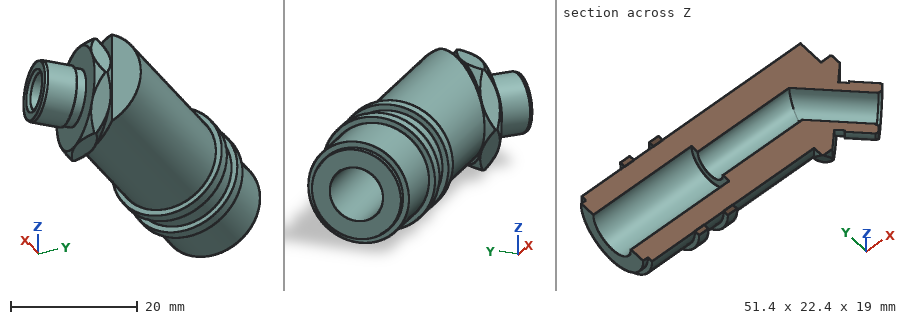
import cadquery as cq
import math

body_dia = 17.0
lip_dia = 15.0
lip_length = 1.0
body_end_x = 46.9
bore_dia = 6.0
socket_dia = 9.0
socket_depth = 20.55

bend_x = 38.5
outlet_angle = 45.0
tip_distance = 13.4

hex_flats = body_dia
hex_thickness = 3.0
hex_corners = hex_flats / math.cos(math.pi / 6)

spigot_dia = 10.05
neck_dia = 9.45
neck_length = 1.65
spigot_length = 5.35
tip_chamfer_length = 0.45
tip_chamfer_depth = 0.18
mouth_chamfer = 0.5

hex_front = tip_distance - spigot_length - neck_length
hex_back = hex_front - hex_thickness

ring_dia = 19.0
ring_width = 2.0
ring_positions = [10.0, 16.0]

slope = math.radians(outlet_angle)
outlet_direction = cq.Vector(math.cos(slope), -math.sin(slope), 0)
corner_direction = cq.Vector(math.sin(slope), math.cos(slope), 0)


def outlet_plane(distance):
    """Work plane across the outlet axis, at a distance from the tube axis."""
    origin = cq.Vector(bend_x, 0, 0) + outlet_direction * distance
    return cq.Workplane(cq.Plane(origin, corner_direction, outlet_direction))


def cylinder_x(start, length, diameter):
    """Solid cylinder about the tube axis."""
    return cq.Workplane("YZ", origin=(start, 0, 0)).circle(diameter / 2).extrude(length)


def make_tube():
    """Lipped tube, cut off square at its end and at a slant behind the collar."""
    tube = cylinder_x(0, body_end_x, lip_dia)
    tube = tube.union(cylinder_x(lip_length, body_end_x - lip_length, body_dia))
    beyond_collar_back = outlet_plane(hex_back).rect(2 * body_end_x, 2 * body_dia).extrude(body_end_x)
    return tube.cut(beyond_collar_back)


def revolve_on_outlet(profile):
    """Revolve an outline of (radius, distance along the outlet axis) points about the outlet axis."""
    frame = cq.Plane((bend_x, 0, 0), corner_direction, (0, 0, -1))
    return cq.Workplane(frame).polyline(profile).close().revolve(360, (0, 0), (0, 1))


def make_hex_collar():
    """Hexagon with flats facing +Z and -Z, its corners chamfered at 45 degrees on both faces."""
    prism = outlet_plane(hex_back).polygon(6, hex_corners).extrude(hex_thickness)
    face_radius = hex_flats / 2
    half_thickness = hex_thickness / 2
    envelope = revolve_on_outlet([
        (0, hex_back),
        (face_radius, hex_back),
        (face_radius + half_thickness, hex_back + half_thickness),
        (face_radius, hex_front),
        (0, hex_front),
    ])
    return prism.intersect(envelope)


def make_spigot():
    """Narrow neck, then the wider spigot with a slim chamfer around its tip."""
    neck_end = hex_front + neck_length
    return revolve_on_outlet([
        (0, hex_front),
        (neck_dia / 2, hex_front),
        (neck_dia / 2, neck_end),
        (spigot_dia / 2, neck_end),
        (spigot_dia / 2, tip_distance - tip_chamfer_length),
        (spigot_dia / 2 - tip_chamfer_depth, tip_distance),
        (0, tip_distance),
    ])


def make_passage():
    """Bore that follows the tube axis and turns with a mitre into the outlet."""
    tip = outlet_direction * tip_distance
    path = cq.Workplane("XY").polyline([(0, 0), (bend_x, 0), (bend_x + tip.x, tip.y)])
    bore = cq.Workplane("YZ").circle(bore_dia / 2).sweep(path, transition="right")
    socket = cylinder_x(0, socket_depth, socket_dia)
    mouth = revolve_on_outlet([
        (0, tip_distance - mouth_chamfer),
        (bore_dia / 2, tip_distance - mouth_chamfer),
        (bore_dia / 2 + mouth_chamfer, tip_distance),
        (0, tip_distance),
    ])
    return bore.union(socket).union(mouth)


def make_housing():
    """Tube, collar and spigot in one piece, with the passage through them."""
    return make_tube().union(make_hex_collar()).union(make_spigot()).cut(make_passage())


def make_ring(start):
    """Plain ring that fits closely around the tube."""
    return cylinder_x(start, ring_width, ring_dia).cut(cylinder_x(start, ring_width, body_dia))


housing = make_housing()
rings = [make_ring(start) for start in ring_positions]

result = cq.Compound.makeCompound([housing.solids().val(), *[ring.solids().val() for ring in rings]])